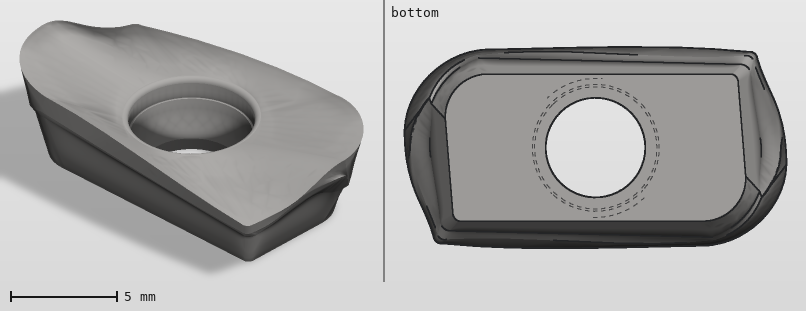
import cadquery as cq
import math

HALF_LENGTH = 8.99
TOP_HEIGHT = 4.8

MOUTH_RADIUS = 3.27
MOUTH_HEIGHT = 3.58
HEAD_RADIUS = 2.98
LIP_DEPTH = 0.23
SEAT_HEIGHT = 2.52
SEAT_RADIUS = 2.88
BORE_RADIUS = 2.34
BORE_HEIGHT = 0.61
MOUTH_ANGLES = (-134, -43, -38, 0)

BASE_HALF_LENGTH = 7.07
BASE_HALF_WIDTH = 3.45
BASE_TIP_LENGTH = 0.25
BASE_TIP_WIDTH = 0.36
BASE_NOSE_X = 4.85
BASE_NOSE_Y = 1.35
END_SLOPE = 0.32
END_LEAN = 0.08
SIDE_SLOPE = 0.25

NOSE_END = (HALF_LENGTH, 0.8, TOP_HEIGHT)
NOSE_SIDE = (5.09, 4.62, 4.67)
EDGE_TIP_SIDE = (7.2, -4.51, 3.04)
EDGE_TIP_END = (7.62, -4.17, 3.04)

BAND_NOSE_END = (7.82, 2.34, 1.98)
BAND_NOSE_SIDE = (5.61, 4.35, 3.45)
BAND_TIP_SIDE = (7.01, -4.32, 2.4)
BAND_TIP_END = (7.45, -4.03, 2.41)


def half_turn(point):
    x, y, z = point
    return (-x, -y, z)


def curve(*points):
    return cq.Edge.makeSpline([cq.Vector(*p) for p in points])


def arc(start, middle, end):
    return cq.Edge.makeThreePointArc(cq.Vector(*start), cq.Vector(*middle), cq.Vector(*end))


def line(start, end):
    return cq.Edge.makeLine(cq.Vector(*start), cq.Vector(*end))


def end_wall(y, z):
    """Point on the sloping, leaning end of the core."""
    return (BASE_HALF_LENGTH + END_SLOPE * z - END_LEAN * (BASE_NOSE_Y - y), y, z)


def side_wall(x, z):
    """Point on the sloping long side of the core."""
    return (x, -BASE_HALF_WIDTH - SIDE_SLOPE * z, z)


def mouth_point(angle):
    turn = math.radians(angle)
    return (MOUTH_RADIUS * math.cos(turn), MOUTH_RADIUS * math.sin(turn), MOUTH_HEIGHT)


def mouth_ring():
    stops = MOUTH_ANGLES + (MOUTH_ANGLES[0] + 180,)
    return [
        arc(mouth_point(a), mouth_point((a + b) / 2), mouth_point(b))
        for a, b in zip(stops, stops[1:])
    ]


def cutting_edge_ring():
    return [
        curve(half_turn(NOSE_SIDE), (0, -4.73, 4.28), (3.47, -4.73, 3.72), EDGE_TIP_SIDE),
        arc(EDGE_TIP_SIDE, (7.5, -4.42, 3.02), EDGE_TIP_END),
        curve(EDGE_TIP_END, (7.95, -3.27, 3.2), (8.43, -2.2, 3.63), (8.86, -0.72, 4.51), NOSE_END),
        curve(NOSE_END, (8.65, 2.21, TOP_HEIGHT), (7.4, 3.75, TOP_HEIGHT), NOSE_SIDE),
    ]


def band_ring():
    return [
        curve(half_turn(BAND_NOSE_SIDE), (-4.67, -4.45, 3.45), (0, -4.46, 3.02), BAND_TIP_SIDE),
        arc(BAND_TIP_SIDE, (7.34, -4.25, 2.4), BAND_TIP_END),
        curve(BAND_TIP_END, (7.97, -2.7, 2.85), (8.49, -1.22, 3.67), (8.7, 0.47, 3.7),
              (8.35, 1.58, 3.15), BAND_NOSE_END),
        curve(BAND_NOSE_END, (7.05, 3.52, 2.7), BAND_NOSE_SIDE),
    ]


def core_ring():
    nose_end = end_wall(2.07, 1.89)
    nose_side = half_turn(side_wall(-5.48, 3.05))
    tip_side = side_wall(6.87, 1.85)
    tip_end = end_wall(-3.45, 1.98)
    return [
        line(half_turn(nose_side), tip_side),
        arc(tip_side, (7.12, -3.81, 1.9), tip_end),
        curve(tip_end, end_wall(-2.7, 2.07), end_wall(-1.08, 2.46), end_wall(0.25, 2.59),
              end_wall(1.13, 2.15), nose_end),
        curve(nose_end, (6.87, 3.38, 2.43), nose_side),
    ]


def base_ring():
    nose_end = end_wall(BASE_NOSE_Y, 0)
    nose_side = half_turn(side_wall(-BASE_NOSE_X, 0))
    corner_x = end_wall(-BASE_HALF_WIDTH, 0)[0]
    tip_side = side_wall(corner_x - BASE_TIP_LENGTH, 0)
    tip_end = end_wall(BASE_TIP_WIDTH - BASE_HALF_WIDTH, 0)
    bend = 1 - math.sqrt(0.5)
    tip_middle = (
        corner_x - BASE_TIP_LENGTH * bend, BASE_TIP_WIDTH * bend - BASE_HALF_WIDTH, 0
    )
    return [
        line(half_turn(nose_side), tip_side),
        arc(tip_side, tip_middle, tip_end),
        line(tip_end, nose_end),
        arc(nose_end, (6.44, 2.91, 0), nose_side),
    ]


def full_ring(half):
    return half + [edge.rotate(cq.Vector(0, 0, 0), cq.Vector(0, 0, 1), 180) for edge in half]


def insert_body():
    half_rings = (mouth_ring(), cutting_edge_ring(), band_ring(), core_ring(), base_ring())
    rings = [full_ring(half) for half in half_rings]
    faces = [
        cq.Face.makeRuledSurface(upper, lower)
        for upper_ring, lower_ring in zip(rings, rings[1:])
        for upper, lower in zip(upper_ring, lower_ring)
    ]
    for flat_ring in (rings[0], rings[-1]):
        faces.append(cq.Face.makeFromWires(cq.Wire.assembleEdges(flat_ring)))
    return cq.Workplane(cq.Solid.makeSolid(cq.Shell.makeShell(faces)).fix())


def screw_hole():
    """Rounded lip, straight head recess, concave seat and plain bore."""
    lip_width = MOUTH_RADIUS - HEAD_RADIUS
    lip_bend = 1 - math.sqrt(0.5)
    return (
        cq.Workplane("XZ")
        .moveTo(0, 0)
        .lineTo(BORE_RADIUS, 0)
        .lineTo(BORE_RADIUS, BORE_HEIGHT)
        .threePointArc((2.68, 1.44), (SEAT_RADIUS, SEAT_HEIGHT))
        .lineTo(HEAD_RADIUS, SEAT_HEIGHT)
        .lineTo(HEAD_RADIUS, MOUTH_HEIGHT - LIP_DEPTH)
        .threePointArc(
            (HEAD_RADIUS + lip_width * lip_bend, MOUTH_HEIGHT - LIP_DEPTH * lip_bend),
            (MOUTH_RADIUS, MOUTH_HEIGHT),
        )
        .lineTo(MOUTH_RADIUS, TOP_HEIGHT)
        .lineTo(0, TOP_HEIGHT)
        .close()
        .revolve(360, (0, 0, 0), (0, 1, 0))
    )


result = insert_body().cut(screw_hole())